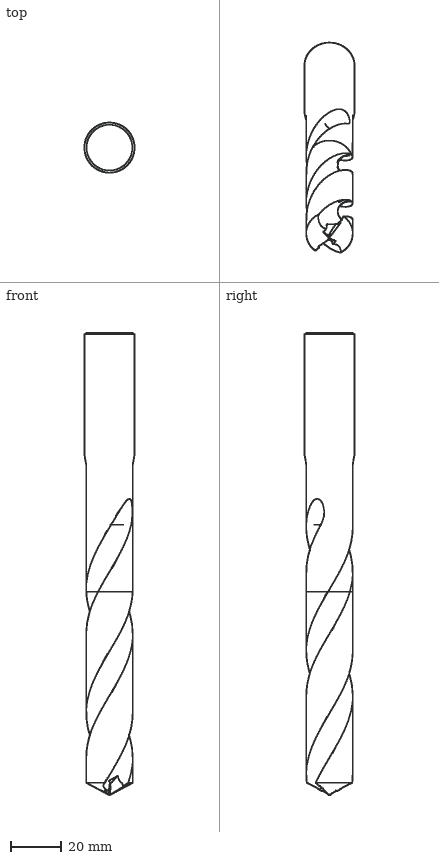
import cadquery as cq
import math

total_length = 184.0
shank_diameter = 20.0
shaft_diameter = 18.5
shank_radius = shank_diameter / 2
shaft_radius = shaft_diameter / 2

shoulder_height = 5.0
joint_height = 81.0
flute_top = 107.6
neck_bottom = 131.4
neck_top = 135.6
chamfer_height = 0.5
chamfer_width = 1.0

flute_count = 2
flute_spacing = 360 / flute_count
flute_pitch = 98.6
flute_radius = 5.0
flute_offset = 8.3
flute_start_angle = -87.0
flute_twist = 360 * flute_top / flute_pitch

runout_height = 18.4
runout_lean = 0.9

gash_wall_angle = -31.0
gash_peak = (4.0, 8.0)
gash_left = (-0.5, 3.5)
gash_right = 9.0
gash_depth = 3.0
web_half_thickness = 0.2


def flute_section(angle):
    """Horizontal circle of a flute at height zero, at the given angle in degrees."""
    return cq.Workplane("XY").polarArray(flute_offset, angle, 360, 1).circle(flute_radius)


def helical_flute(angle):
    return flute_section(angle).twistExtrude(flute_top, flute_twist)


def flute_runout(angle):
    """Oblique straight continuation of a flute above its helix."""
    end_angle = math.radians(angle + flute_twist)
    out_x = math.cos(end_angle)
    out_y = math.sin(end_angle)
    tangential = runout_height * 2 * math.pi * flute_offset / flute_pitch
    radial = runout_lean * tangential
    direction = cq.Vector(
        radial * out_x - tangential * out_y,
        radial * out_y + tangential * out_x,
        runout_height,
    )
    center = cq.Vector(flute_offset * out_x, flute_offset * out_y, flute_top)
    circle = cq.Wire.makeCircle(flute_radius, center, cq.Vector(0, 0, 1))
    return cq.Workplane(cq.Solid.extrudeLinear(circle, [], direction))


def web_gash(angle):
    """Notch that thins the web at the point, turned about the axis."""
    return (
        cq.Workplane("XZ", origin=(0, -web_half_thickness, 0))
        .polyline([gash_peak, gash_left, (0, 0), (gash_right, 0)])
        .close()
        .extrude(gash_depth)
        .rotate((0, 0, 0), (0, 0, 1), gash_wall_angle + angle)
    )


def make_cutting_head():
    """Pointed, fluted lower body."""
    profile = [(0, 0), (shaft_radius, shoulder_height), (shaft_radius, joint_height), (0, joint_height)]
    return cq.Workplane("XZ").polyline(profile).close().revolve()


def make_holder():
    """Upper body: fluted neck and plain cylindrical shank."""
    profile = [
        (0, joint_height),
        (shaft_radius, joint_height),
        (shaft_radius, neck_bottom),
        (shank_radius, neck_top),
        (shank_radius, total_length - chamfer_height),
        (shank_radius - chamfer_width, total_length),
        (0, total_length),
    ]
    return cq.Workplane("XZ").polyline(profile).close().revolve()


cutting_head = make_cutting_head()
holder = make_holder()

for index in range(flute_count):
    turn = index * flute_spacing
    flute_angle = flute_start_angle + turn
    flute = helical_flute(flute_angle)
    cutting_head = cutting_head.cut(flute).cut(web_gash(turn))
    holder = holder.cut(flute).cut(flute_runout(flute_angle))

result = cq.Compound.makeCompound([cutting_head.val(), holder.val()])